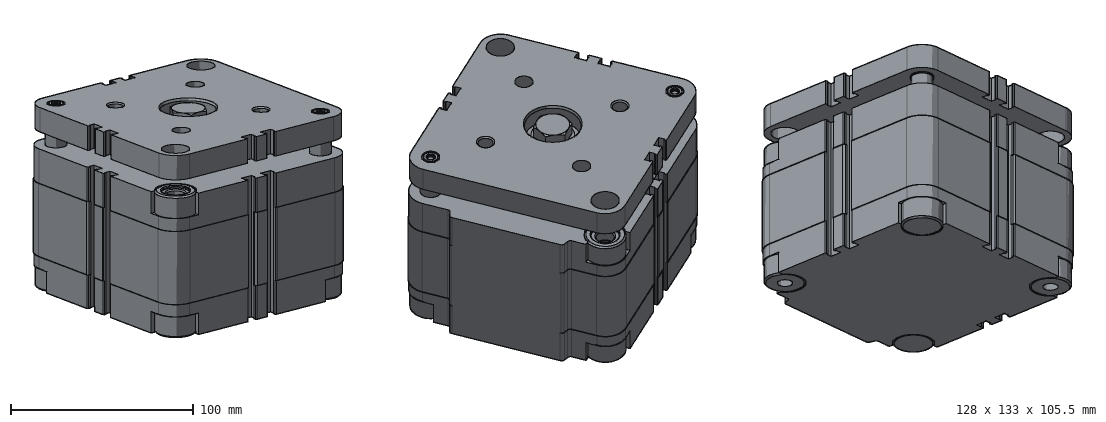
import cadquery as cq
import math

TOTAL_HEIGHT = 105.5
PLATE_THICKNESS = 14.1
HOUSING_HEIGHT = 81.7
BOTTOM_CAP_HEIGHT = 19.5
TOP_CAP_HEIGHT = 19.8
PLATE_BOTTOM = TOTAL_HEIGHT - PLATE_THICKNESS
TUBE_TOP = HOUSING_HEIGHT - TOP_CAP_HEIGHT

PLATE_WIDTH = 126.4
CAP_WIDTH = 127.1
TUBE_WIDTH = 128.0
CORNER_RADIUS = 12.0
TUBE_CORNER_RADIUS = 12.5

DEPTH_WITH_RAIL = 133.0
RAIL_TOP_Y = DEPTH_WITH_RAIL - TUBE_WIDTH / 2
RAIL_BASE_HALF = 35.1
RAIL_TOP_HALF = 33.5
CAP_RAIL_EDGE_RADIUS = 2.1
TUBE_RAIL_EDGE_RADIUS = 1.3
RAIL_ROOT_RADIUS = 1.9
RAIL_FOOT_MARGIN = 4.0

SLOT_FLOOR = 58.4
SLOT_LIP = 61.7
SLOT_INNER_EDGE = 3.3
SLOT_OUTER_EDGE = 10.4
MOUTH_INNER_EDGE = 3.6
MOUTH_OUTER_EDGE = 10.1
MOUTH_CHAMFER = 0.5
WIDE_MOUTH_CHAMFER = 1.0

CORNER_OFFSET = 51.5
GUIDE_CORNERS = [(-CORNER_OFFSET, -CORNER_OFFSET), (CORNER_OFFSET, CORNER_OFFSET)]
MOUNT_CORNERS = [(-CORNER_OFFSET, CORNER_OFFSET), (CORNER_OFFSET, -CORNER_OFFSET)]

BOSS_DIAMETER = 23.0
BOSS_CHAMFER = 0.9
POCKET_INNER_EDGE = 45.1
POCKET_OUTER_EDGE = 66.5
BOTTOM_POCKET_HEIGHT = 12.4
TOP_POCKET_HEIGHT = 12.5

MOUNT_HOLE_DIAMETER = 8.4
MOUNT_STEP_DIAMETER = 10.0
MOUNT_STEP_MOUTH = 11.5
MOUNT_STEP_CHAMFER = 0.8
MOUNT_STEP_DEPTH = 6.6
MOUNT_RECESS_DIAMETER = 15.4
MOUNT_RECESS_MOUTH = 16.5
MOUNT_RECESS_CHAMFER = 0.5
MOUNT_RECESS_DEPTH = 1.3

PISTON_ROD_DIAMETER = 25.0
WRENCH_FLAT_WIDTH = 22.1
WRENCH_FLAT_GAP = 0.8
GUIDE_ROD_DIAMETER = 12.0
GUIDE_COLLAR_DIAMETER = 13.0
GUIDE_COLLAR_HEIGHT = 0.7

PLATE_CLEARANCE_DIAMETER = 15.4
TAPPED_OFFSET = 28.3
DOWEL_DIAMETER = 10.0
TAPPED_DIAMETER = 8.4
TAPPED_CHAMFER = 0.8
PLATE_RECESS_DIAMETER = 31.0
PLATE_RECESS_MOUTH = 32.2
PLATE_RECESS_CHAMFER = 1.5
PLATE_RECESS_DEPTH = 10.4

WASHER_DIAMETER = 24.0
WASHER_HEIGHT = 2.5
HEX_WIDTH = 18.6
HEX_HEIGHT = 7.5
HALF_HEX_SECTOR = 30.0

GUIDE_SCREW_HOLE_DIAMETER = 9.8
GUIDE_SCREW_HEAD_DIAMETER = 8.0
GUIDE_SCREW_GROOVE_DEPTH = 1.0
GUIDE_SOCKET_MOUTH = 5.0
GUIDE_SOCKET_DIAMETER = 3.9
GUIDE_SOCKET_STEP = 0.8
GUIDE_SOCKET_DEPTH = 1.6


def cylinder(x, y, bottom, diameter, height):
    return cq.Workplane("XY").workplane(offset=bottom).center(x, y).circle(diameter / 2).extrude(height)


def cone(x, y, bottom, lower_diameter, upper_diameter, height):
    profile = [(0, 0), (lower_diameter / 2, 0), (upper_diameter / 2, height), (0, height)]
    solid = cq.Workplane("XZ").polyline(profile).close().revolve(360, (0, 0), (0, 1))
    return solid.translate((x, y, bottom))


def hex_prism(bottom, width, height):
    """Hexagonal prism on the Z axis, with two corners pointing along Y."""
    corner_diameter = width / math.cos(math.radians(HALF_HEX_SECTOR))
    prism = cq.Workplane("XY").polygon(6, corner_diameter).extrude(height)
    return prism.rotate((0, 0, 0), (0, 0, 1), HALF_HEX_SECTOR).translate((0, 0, bottom))


def countersunk_hole(x, y, top, diameter, mouth, depth, chamfer):
    """Cutter for a hole from the height `top` down, widened to `mouth` at its upper end."""
    hole = cylinder(x, y, top - depth, diameter, depth)
    return hole.union(cone(x, y, top - chamfer, diameter, mouth, chamfer))


def rounded_square(width, radius, bottom, height):
    block = cq.Workplane("XY").workplane(offset=bottom).rect(width, width).extrude(height)
    return block.edges("|Z").fillet(radius)


def slot(body_width, bottom, height, inner_chamfer=MOUTH_CHAMFER, outer_chamfer=MOUTH_CHAMFER):
    """Undercut slot with a chamfered mouth, on the -Y side and at +X."""
    face = body_width / 2
    inner_neck = MOUTH_INNER_EDGE + inner_chamfer
    outer_neck = MOUTH_OUTER_EDGE - outer_chamfer
    points = [
        (SLOT_INNER_EDGE, -SLOT_FLOOR),
        (SLOT_OUTER_EDGE, -SLOT_FLOOR),
        (SLOT_OUTER_EDGE, -SLOT_LIP),
        (outer_neck, -SLOT_LIP),
        (outer_neck, outer_chamfer - face),
        (MOUTH_OUTER_EDGE, -face),
        (MOUTH_INNER_EDGE, -face),
        (inner_neck, inner_chamfer - face),
        (inner_neck, -SLOT_LIP),
        (SLOT_INNER_EDGE, -SLOT_LIP),
    ]
    return cq.Workplane("XY").workplane(offset=bottom).polyline(points).close().extrude(height)


def slot_pair(right_slot, left_slot):
    return right_slot.union(left_slot.mirror("YZ"))


def on_left_side(pair):
    return pair.rotate((0, 0, 0), (0, 0, 1), -90)


def cut_slots(body, front_pair, left_pair):
    """Cut a slot pair into the -Y side, the -X side and, mirrored, the +X side."""
    return body.cut(front_pair).cut(left_pair).cut(left_pair.mirror("YZ"))


def slotted_square(width, bottom, height):
    body = rounded_square(width, CORNER_RADIUS, bottom, height)
    one = slot(width, bottom, height)
    pair = slot_pair(one, one)
    return cut_slots(body, pair, on_left_side(pair))


def make_rail(bottom, height, body_width, edge_radius):
    """Trapezoid rail on the +Y side, with a foot that lies inside the body."""
    base_y = body_width / 2
    foot_y = base_y - RAIL_FOOT_MARGIN
    foot_half = RAIL_BASE_HALF + RAIL_FOOT_MARGIN
    points = [
        (-foot_half, foot_y),
        (-foot_half, base_y),
        (-RAIL_BASE_HALF, base_y),
        (-RAIL_TOP_HALF, RAIL_TOP_Y),
        (RAIL_TOP_HALF, RAIL_TOP_Y),
        (RAIL_BASE_HALF, base_y),
        (foot_half, base_y),
        (foot_half, foot_y),
    ]
    rail = cq.Workplane("XY").workplane(offset=bottom).polyline(points).close().extrude(height)
    rail = rail.edges("|Z and >Y").fillet(edge_radius)
    for x in (-RAIL_BASE_HALF, RAIL_BASE_HALF):
        root = cq.selectors.NearestToPointSelector((x, base_y, bottom + height / 2))
        rail = rail.edges("|Z").edges(root).fillet(RAIL_ROOT_RADIUS)
    return rail


def make_cap(bottom, height):
    cap = slotted_square(CAP_WIDTH, bottom, height)
    return cap.union(make_rail(bottom, height, CAP_WIDTH, CAP_RAIL_EDGE_RADIUS))


def make_tube():
    bottom = BOTTOM_CAP_HEIGHT
    height = TUBE_TOP - bottom
    tube = rounded_square(TUBE_WIDTH, TUBE_CORNER_RADIUS, bottom, height)
    plain = slot(TUBE_WIDTH, bottom, height)
    wide_outside = slot(TUBE_WIDTH, bottom, height, outer_chamfer=WIDE_MOUTH_CHAMFER)
    wide_inside = slot(TUBE_WIDTH, bottom, height, inner_chamfer=WIDE_MOUTH_CHAMFER)
    front_pair = slot_pair(wide_outside, wide_outside)
    left_pair = on_left_side(slot_pair(wide_inside, plain))
    tube = cut_slots(tube, front_pair, left_pair)
    return tube.union(make_rail(bottom, height, TUBE_WIDTH, TUBE_RAIL_EDGE_RADIUS))


def corner_pocket(x, y, bottom, height):
    """Square cut at a corner that leaves a round boss standing on the corner axis."""
    size = POCKET_OUTER_EDGE - POCKET_INNER_EDGE
    middle = (POCKET_OUTER_EDGE + POCKET_INNER_EDGE) / 2
    block = (
        cq.Workplane("XY")
        .workplane(offset=bottom)
        .center(math.copysign(middle, x), math.copysign(middle, y))
        .rect(size, size)
        .extrude(height)
    )
    return block.cut(cylinder(x, y, bottom, BOSS_DIAMETER, height))


def boss_chamfer(x, y, end, direction):
    """Ring that chamfers the boss end; direction is +1 for a top end and -1 for a bottom end."""
    bottom = end - BOSS_CHAMFER if direction > 0 else end
    ring = cylinder(x, y, bottom, BOSS_DIAMETER, BOSS_CHAMFER)
    small = BOSS_DIAMETER - 2 * BOSS_CHAMFER
    lower, upper = (BOSS_DIAMETER, small) if direction > 0 else (small, BOSS_DIAMETER)
    return ring.cut(cone(x, y, bottom, lower, upper, BOSS_CHAMFER))


def mount_recess(x, y):
    recess = countersunk_hole(
        x, y, HOUSING_HEIGHT, MOUNT_RECESS_DIAMETER, MOUNT_RECESS_MOUTH, MOUNT_RECESS_DEPTH, MOUNT_RECESS_CHAMFER
    )
    step_top = HOUSING_HEIGHT - MOUNT_RECESS_DEPTH
    step = countersunk_hole(
        x, y, step_top, MOUNT_STEP_DIAMETER, MOUNT_STEP_MOUTH, MOUNT_STEP_DEPTH, MOUNT_STEP_CHAMFER
    )
    return recess.union(step)


def make_housing():
    top_cap = make_cap(TUBE_TOP, TOP_CAP_HEIGHT)
    bottom_cap = make_cap(0, BOTTOM_CAP_HEIGHT)
    housing = make_tube().union(top_cap).union(bottom_cap)

    for x, y in GUIDE_CORNERS + MOUNT_CORNERS:
        housing = housing.cut(corner_pocket(x, y, 0, BOTTOM_POCKET_HEIGHT))
        housing = housing.cut(boss_chamfer(x, y, 0, -1))

    for x, y in MOUNT_CORNERS:
        housing = housing.cut(corner_pocket(x, y, HOUSING_HEIGHT - TOP_POCKET_HEIGHT, TOP_POCKET_HEIGHT))
        housing = housing.cut(boss_chamfer(x, y, HOUSING_HEIGHT, 1))
        housing = housing.cut(cylinder(x, y, 0, MOUNT_HOLE_DIAMETER, HOUSING_HEIGHT))
        housing = housing.cut(mount_recess(x, y))

    rod_hole_depth = HOUSING_HEIGHT - BOTTOM_CAP_HEIGHT
    housing = housing.cut(cylinder(0, 0, BOTTOM_CAP_HEIGHT, PISTON_ROD_DIAMETER, rod_hole_depth))
    for x, y in GUIDE_CORNERS:
        housing = housing.cut(cylinder(x, y, BOTTOM_CAP_HEIGHT, GUIDE_ROD_DIAMETER, rod_hole_depth))
    return housing


def make_plate():
    plate = slotted_square(PLATE_WIDTH, PLATE_BOTTOM, PLATE_THICKNESS)

    for x, y in MOUNT_CORNERS:
        plate = plate.cut(cylinder(x, y, PLATE_BOTTOM, PLATE_CLEARANCE_DIAMETER, PLATE_THICKNESS))

    tapped_mouth = TAPPED_DIAMETER + 2 * TAPPED_CHAMFER
    for x in (-TAPPED_OFFSET, TAPPED_OFFSET):
        plate = plate.cut(cylinder(x, -x, PLATE_BOTTOM, DOWEL_DIAMETER, PLATE_THICKNESS))
        tapped = countersunk_hole(
            x, x, TOTAL_HEIGHT, TAPPED_DIAMETER, tapped_mouth, PLATE_THICKNESS, TAPPED_CHAMFER
        )
        plate = plate.cut(tapped)

    recess = countersunk_hole(
        0, 0, TOTAL_HEIGHT, PLATE_RECESS_DIAMETER, PLATE_RECESS_MOUTH, PLATE_RECESS_DEPTH, PLATE_RECESS_CHAMFER
    )
    return plate.cut(recess)


def make_central_screw():
    bottom = TOTAL_HEIGHT - PLATE_RECESS_DEPTH
    washer = cylinder(0, 0, bottom, WASHER_DIAMETER, WASHER_HEIGHT)
    head_bottom = bottom + WASHER_HEIGHT
    head = hex_prism(head_bottom, HEX_WIDTH, HEX_HEIGHT)
    slope = math.tan(math.pi / 6)
    wide = HEX_WIDTH + 2 * HEX_HEIGHT / slope
    head = head.intersect(cone(0, 0, head_bottom, wide, HEX_WIDTH, HEX_HEIGHT))
    return washer.union(head)


def make_piston_rod():
    """Rod with two wrench flats, facing -Y and +Y, just below the plate."""
    rod = cylinder(0, 0, BOTTOM_CAP_HEIGHT, PISTON_ROD_DIAMETER, PLATE_BOTTOM - BOTTOM_CAP_HEIGHT)
    flat_bottom = HOUSING_HEIGHT + WRENCH_FLAT_GAP
    flat_height = PLATE_BOTTOM - flat_bottom
    keep = cq.Workplane("XY").box(
        PISTON_ROD_DIAMETER, WRENCH_FLAT_WIDTH, flat_height, centered=(True, True, False)
    )
    keep = keep.translate((0, 0, flat_bottom))
    return rod.cut(cylinder(0, 0, flat_bottom, PISTON_ROD_DIAMETER + 1.3, flat_height).cut(keep))


def make_guide_rod(x, y):
    rod = cylinder(x, y, BOTTOM_CAP_HEIGHT, GUIDE_ROD_DIAMETER, PLATE_BOTTOM - BOTTOM_CAP_HEIGHT)
    collar_bottom = PLATE_BOTTOM - GUIDE_COLLAR_HEIGHT
    return rod.union(cylinder(x, y, collar_bottom, GUIDE_COLLAR_DIAMETER, GUIDE_COLLAR_HEIGHT))


def guide_screw_cut(x, y):
    """Ring groove around the flush screw head, and the stepped round socket in the head."""
    bottom = TOTAL_HEIGHT - GUIDE_SCREW_GROOVE_DEPTH
    groove = cylinder(x, y, bottom, GUIDE_SCREW_HOLE_DIAMETER, GUIDE_SCREW_GROOVE_DEPTH)
    groove = groove.cut(cylinder(x, y, bottom, GUIDE_SCREW_HEAD_DIAMETER, GUIDE_SCREW_GROOVE_DEPTH))
    socket = cylinder(x, y, TOTAL_HEIGHT - GUIDE_SOCKET_DEPTH, GUIDE_SOCKET_DIAMETER, GUIDE_SOCKET_DEPTH)
    step = cylinder(x, y, TOTAL_HEIGHT - GUIDE_SOCKET_STEP, GUIDE_SOCKET_MOUTH, GUIDE_SOCKET_STEP)
    return groove.union(socket).union(step)


def make_slide():
    slide = make_plate().union(make_central_screw()).union(make_piston_rod())
    for x, y in GUIDE_CORNERS:
        slide = slide.union(make_guide_rod(x, y)).cut(guide_screw_cut(x, y))
    return slide


housing = make_housing()
slide = make_slide()
result = cq.Compound.makeCompound([housing.val(), slide.val()])